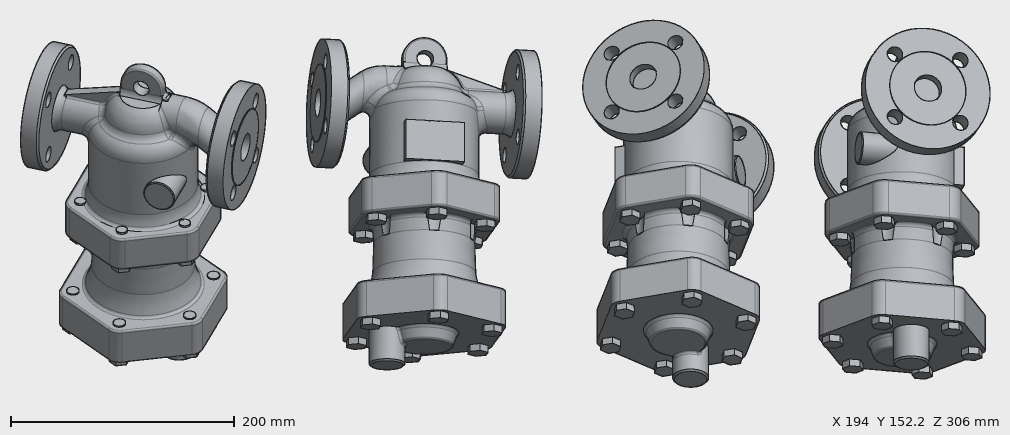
import cadquery as cq
import math

port_height = 240.8
total_height = 306.0
lower_flange_bottom = 31.8
lower_flange_top = 65.8
upper_flange_bottom = 130.3
upper_flange_top = 163.7

overall_length = 194.0
port_flange_dia = 115.0
port_flange_thickness = 16.8
raised_face_dia = 70.0
raised_face_height = 1.0
port_bore_dia = 25.0
port_bore_depth = 9.2
port_hole_dia = 14.0
port_hole_circle_dia = 85.0
port_hole_count = 4
port_hole_start_angle = 45.0
port_flange_chamfer = 1.8

pipe_radius = 18.7
collar_radius = 21.5
collar_sag = 1.0
inlet_collar_length = 8.3
outlet_collar_length = 4.3
outlet_height = 259.5
outlet_bend_radius = 35.8
outlet_slope = 36.0
outlet_bend_steps = 4
inlet_blend = 8.0
outlet_blend = 6.0
blend_top_margin = 1.5

hex_count = 6
upper_hex_flats = 125.7
upper_hex_corner_radius = 14.0
upper_bolt_circle_radius = 57.2
upper_stud_dia = 10.0
lower_hex_flats = 135.2
lower_hex_corner_radius = 12.5
lower_bolt_circle_radius = 64.0
lower_stud_dia = 11.3
hex_edge_fillet = 1.8
upper_stud_height = 1.8
lower_stud_height = 1.2
bolt_head_flats = 16.5
bolt_head_height = 6.5

body_radius = 49.0
upper_foot_radius = 56.5
lower_foot_radius = 56.0
flare_radius = 51.7
foot_rise = 2.5
foot_sag = 1.0
body_overlap = 3.0
upper_flare_top = 178.0
upper_flare_sag = 0.5
shoulder_bottom = 235.0
shoulder_top = 249.5
shoulder_top_radius = 40.0
shoulder_bulge = 2.5
shoulder_root_sag = 1.0
dome_bottom = 256.0
dome_radius = 34.5
dome_top = 275.0
dome_flat_radius = 20.5
dome_bulge = 3.0

waist_radius = 45.3
waist_top_radius = 46.2
waist_foot_radius = 50.0
waist_foot_height = 3.7
waist_height = 115.0
lower_flare_top = 87.5
lower_flare_sag = 1.0
lower_flare_top_radius = 46.2
relief_radius = 13.0

lug_hole_dia = 15.0
lug_radius = 20.0
lug_thickness = 10.7
lug_base_width = 18.5
lug_base_top = 281.5
lug_base_lip = 0.5
lug_base_sink = 1.0
lug_rim_fillet = 1.5
lug_toe_x = 25.0
rib_thickness = 9.0
rib_start_x = -73.5
rib_start_height = 260.5
rib_end_height = 277.0
rib_blend = 2.5

side_boss_x = 31.8
side_boss_height = 203.5
side_boss_radius = 14.7
side_boss_face_y = -48.0
side_boss_chamfer = 1.0

pad_width = 53.5
pad_face_y = 50.8
pad_bottom = 178.7
pad_top = 215.0

cap_height = 12.5
cap_foot_radius = 31.2
cap_foot_height = 2.8
cap_neck_radius = 29.0
cap_bottom_radius = 25.5
cap_rim_fillet = 2.0
drain_x = 34.0
drain_dia = 32.0
drain_chamfer = 1.5
drain_blend = 2.5

port_face_x = overall_length / 2
flange_outer_x = port_face_x - raised_face_height
flange_inner_x = flange_outer_x - port_flange_thickness
inlet_end_x = inlet_collar_length - flange_inner_x
outlet_end_x = flange_inner_x - outlet_collar_length


def arc_middle(start, end, bulge):
    """Middle point of an arc that bulges to the right of the way from start to end."""
    step_x = end[0] - start[0]
    step_z = end[1] - start[1]
    chord = math.hypot(step_x, step_z)
    return (
        (start[0] + end[0]) / 2 + bulge * step_z / chord,
        (start[1] + end[1]) / 2 - bulge * step_x / chord,
    )


def cylinder(x, y, bottom, radius, height):
    """Vertical cylinder standing at height `bottom`."""
    return cq.Workplane("XY", origin=(x, y, bottom)).circle(radius).extrude(height)


def hex_prism(flats, bottom, height):
    """Hexagonal prism on the Z axis with two corners on the Y axis."""
    half_sector = 180 / hex_count
    corner_dia = flats / math.cos(math.radians(half_sector))
    prism = cq.Workplane("XY").polygon(hex_count, corner_dia).extrude(height)
    return prism.rotate((0, 0, 0), (0, 0, 1), half_sector).translate((0, 0, bottom))


def bolt_positions(circle_radius):
    """Bolt centres below the corners of a hexagonal flange."""
    angles = [math.pi / hex_count * (2 * i + 1) for i in range(hex_count)]
    return [(circle_radius * math.cos(a), circle_radius * math.sin(a)) for a in angles]


def hex_flange(flats, corner_radius, bottom, top, rounded_faces):
    """Hexagonal flange with round corners and rounded rims on the chosen faces."""
    flange = hex_prism(flats, bottom, top - bottom).edges("|Z").fillet(corner_radius)
    return flange.faces(rounded_faces).edges().fillet(hex_edge_fillet)


def flange_bolts(circle_radius, stud_dia, stud_height, bottom, top):
    """Stud ends above a hexagonal flange and bolt heads below it."""
    bolts = cq.Workplane("XY")
    for x, y in bolt_positions(circle_radius):
        stud = cylinder(x, y, bottom, stud_dia / 2, top - bottom + stud_height)
        head = hex_prism(bolt_head_flats, bottom - bolt_head_height, bolt_head_height)
        bolts = bolts.add(stud).add(head.translate((x, y, 0)))
    return bolts.combine()


def port_flange():
    """Pipe flange of the +X port, centred on the X axis."""
    disc = (
        cq.Workplane("YZ", origin=(flange_inner_x, 0, 0))
        .circle(port_flange_dia / 2)
        .extrude(port_flange_thickness)
        .faces("<X").edges().chamfer(port_flange_chamfer)
        .faces(">X").workplane()
        .circle(raised_face_dia / 2)
        .extrude(raised_face_height)
    )
    holes = (
        cq.Workplane("YZ", origin=(flange_inner_x, 0, 0))
        .polarArray(port_hole_circle_dia / 2, port_hole_start_angle, 360, port_hole_count)
        .circle(port_hole_dia / 2)
        .extrude(port_flange_thickness)
    )
    return disc.cut(holes)


def port_collar(collar_length):
    """Concave flare between the +X pipe and its flange, at the port height."""
    collar_end_x = flange_inner_x - collar_length
    pipe_end = (collar_end_x, pipe_radius)
    flange_end = (flange_inner_x, collar_radius)
    return (
        cq.Workplane("XY")
        .moveTo(collar_end_x, 0)
        .lineTo(*pipe_end)
        .threePointArc(arc_middle(pipe_end, flange_end, collar_sag), flange_end)
        .lineTo(flange_inner_x, 0)
        .close()
        .revolve(360, (0, 0, 0), (1, 0, 0))
        .translate((0, 0, port_height))
    )


def port_bore():
    """Blind bore in the face of the +X port."""
    start_x = port_face_x - port_bore_depth
    return (
        cq.Workplane("YZ", origin=(start_x, 0, 0))
        .circle(port_bore_dia / 2)
        .extrude(port_bore_depth)
    )


def both_ports(shape):
    """Place a +X port feature at the port height on both sides."""
    placed = shape.translate((0, 0, port_height))
    return placed.union(placed.mirror("YZ"))


def inlet_pipe():
    """Straight pipe from the -X flange to the body axis."""
    return (
        cq.Workplane("YZ", origin=(inlet_end_x, 0, port_height))
        .circle(pipe_radius)
        .extrude(-inlet_end_x)
    )


def outlet_pipe():
    """Pipe that leaves the dome horizontally and slopes down to the +X flange.

    Every section square to the X axis is the same circle; its centre follows an
    arc and then a straight slope.
    """
    slope = math.radians(outlet_slope)
    bend_run = outlet_bend_radius * math.sin(slope)
    bend_drop = outlet_bend_radius * (1 - math.cos(slope))
    slope_drop = outlet_height - port_height - bend_drop
    slope_run = slope_drop / math.tan(slope)
    bend_start_x = outlet_end_x - slope_run - bend_run

    bend = cq.Workplane("YZ", origin=(bend_start_x, 0, outlet_height)).circle(pipe_radius)
    previous_run = 0
    previous_drop = 0
    for step in range(1, outlet_bend_steps + 1):
        angle = slope * step / outlet_bend_steps
        run = outlet_bend_radius * math.sin(angle)
        drop = outlet_bend_radius * (1 - math.cos(angle))
        bend = (
            bend.workplane(offset=run - previous_run)
            .center(0, previous_drop - drop)
            .circle(pipe_radius)
        )
        previous_run = run
        previous_drop = drop
    bend = bend.loft()

    slope_start = cq.Vector(outlet_end_x - slope_run, 0, outlet_height - bend_drop)
    section = cq.Wire.makeCircle(pipe_radius, slope_start, cq.Vector(1, 0, 0))
    sloped = cq.Solid.extrudeLinear(section, [], cq.Vector(slope_run, 0, -slope_drop))
    straight = (
        cq.Workplane("YZ", origin=(lug_radius, 0, outlet_height))
        .circle(pipe_radius)
        .extrude(bend_start_x - lug_radius)
    )
    return straight.union(bend).union(cq.Workplane(sloped))


def upper_body():
    """Flared cylinder with a round shoulder and a dome."""
    foot_start = (upper_foot_radius, upper_flange_top)
    flare_start = (flare_radius, upper_flange_top + foot_rise)
    flare_end = (body_radius, upper_flare_top)
    shoulder_start = (body_radius, shoulder_bottom)
    shoulder_end = (shoulder_top_radius, shoulder_top)
    dome_start = (dome_radius, dome_bottom)
    dome_end = (dome_flat_radius, dome_top)
    return (
        cq.Workplane("XZ")
        .moveTo(0, upper_flange_top - body_overlap)
        .lineTo(upper_foot_radius, upper_flange_top - body_overlap)
        .lineTo(*foot_start)
        .threePointArc(arc_middle(foot_start, flare_start, -foot_sag), flare_start)
        .threePointArc(arc_middle(flare_start, flare_end, -upper_flare_sag), flare_end)
        .lineTo(*shoulder_start)
        .threePointArc(arc_middle(shoulder_start, shoulder_end, shoulder_bulge), shoulder_end)
        .threePointArc(arc_middle(shoulder_end, dome_start, -shoulder_root_sag), dome_start)
        .threePointArc(arc_middle(dome_start, dome_end, dome_bulge), dome_end)
        .lineTo(0, dome_top)
        .close()
        .revolve(360, (0, 0, 0), (0, 1, 0))
    )


def lower_body():
    """Waisted body between the two hexagonal flanges, relieved around the bolts."""
    foot_start = (lower_foot_radius, lower_flange_top)
    flare_start = (flare_radius, lower_flange_top + foot_rise)
    flare_end = (lower_flare_top_radius, lower_flare_top)
    body = (
        cq.Workplane("XZ")
        .moveTo(0, lower_flange_top - body_overlap)
        .lineTo(lower_foot_radius, lower_flange_top - body_overlap)
        .lineTo(*foot_start)
        .threePointArc(arc_middle(foot_start, flare_start, -foot_sag), flare_start)
        .threePointArc(arc_middle(flare_start, flare_end, -lower_flare_sag), flare_end)
        .lineTo(waist_radius, waist_height)
        .lineTo(waist_top_radius, upper_flange_bottom - waist_foot_height)
        .tangentArcPoint((waist_foot_radius, upper_flange_bottom), relative=False)
        .lineTo(0, upper_flange_bottom)
        .close()
        .revolve(360, (0, 0, 0), (0, 1, 0))
    )
    for x, y in bolt_positions(upper_bolt_circle_radius):
        relief_height = upper_flange_bottom - waist_height
        body = body.cut(cylinder(x, y, waist_height, relief_radius, relief_height))
    return body


def lug():
    """Lifting eye with a base that flares out onto the dome."""
    centre_height = total_height - lug_radius
    plate = (
        cq.Workplane("XZ", origin=(0, lug_thickness / 2, 0))
        .moveTo(-lug_radius, dome_bottom)
        .lineTo(-lug_radius, centre_height)
        .threePointArc((0, total_height), (lug_radius, centre_height))
        .lineTo(lug_radius, dome_bottom)
        .close()
        .extrude(lug_thickness)
        .edges("%CIRCLE").fillet(lug_rim_fillet)
    )
    half_base = lug_base_width / 2
    base_bottom = dome_top - lug_base_sink
    base = (
        cq.Workplane("YZ", origin=(-lug_radius, 0, 0))
        .moveTo(0, lug_base_top + lug_base_lip)
        .lineTo(lug_thickness / 2, lug_base_top + lug_base_lip)
        .lineTo(lug_thickness / 2, lug_base_top)
        .tangentArcPoint((half_base, base_bottom), relative=False)
        .lineTo(0, base_bottom)
        .mirrorY()
        .extrude(2 * lug_radius)
    )
    toe = (
        cq.Workplane("XZ", origin=(0, lug_thickness / 2, 0))
        .moveTo(0, lug_base_top + lug_base_lip)
        .lineTo(lug_radius, lug_base_top + lug_base_lip)
        .lineTo(lug_radius, lug_base_top)
        .tangentArcPoint((lug_toe_x, outlet_height + pipe_radius), relative=False)
        .lineTo(lug_toe_x, outlet_height)
        .lineTo(0, outlet_height)
        .close()
        .extrude(lug_thickness)
    )
    eye = (
        cq.Workplane("XZ", origin=(0, half_base, centre_height))
        .circle(lug_hole_dia / 2)
        .extrude(lug_base_width)
    )
    return plate.union(base).union(toe).cut(eye)


def rib():
    """Sloping rib from the inlet pipe up to the lug."""
    return (
        cq.Workplane("XZ", origin=(0, rib_thickness / 2, 0))
        .moveTo(rib_start_x, port_height)
        .lineTo(rib_start_x, rib_start_height)
        .lineTo(-lug_radius, rib_end_height)
        .lineTo(0, rib_end_height)
        .lineTo(0, port_height)
        .close()
        .extrude(rib_thickness)
    )


def side_boss():
    """Round boss on the front of the upper body."""
    return (
        cq.Workplane("XZ", origin=(side_boss_x, side_boss_face_y, side_boss_height))
        .circle(side_boss_radius)
        .extrude(side_boss_face_y)
        .faces("<Y").edges().chamfer(side_boss_chamfer)
    )


def nameplate_pad():
    """Flat rectangular pad on the back of the upper body."""
    return (
        cq.Workplane("XY", origin=(0, 0, pad_bottom))
        .rect(pad_width, pad_face_y, centered=(True, False))
        .extrude(pad_top - pad_bottom)
    )


def bottom_cap():
    """Tapered cap under the lower flange, with the off-centre drain pipe."""
    cap_bottom = lower_flange_bottom - cap_height
    cap = (
        cq.Workplane("XZ")
        .moveTo(0, cap_bottom)
        .lineTo(cap_bottom_radius, cap_bottom)
        .lineTo(cap_neck_radius, lower_flange_bottom - cap_foot_height)
        .tangentArcPoint((cap_foot_radius, lower_flange_bottom), relative=False)
        .lineTo(0, lower_flange_bottom)
        .close()
        .revolve(360, (0, 0, 0), (0, 1, 0))
        .faces("<Z").edges().fillet(cap_rim_fillet)
    )
    drain = cylinder(drain_x, 0, 0, drain_dia / 2, lower_flange_bottom)
    drain = drain.faces("<Z").edges().chamfer(drain_chamfer)
    drain_joint = cq.selectors.BoxSelector(
        (0, -drain_dia / 2, cap_bottom - drain_blend),
        (drain_x, drain_dia / 2, lower_flange_bottom - cap_foot_height),
    )
    return cap.union(drain).edges(drain_joint).fillet(drain_blend)


def blended_pipe(pipe, blend_radius):
    """Upper body joined to one pipe, with the joint rounded below the dome's flat top."""
    below_top = cq.selectors.BoxSelector(
        (-body_radius, -body_radius, upper_flare_top),
        (body_radius, body_radius, dome_top - blend_top_margin),
    )
    return upper_body().union(pipe).edges("%BSPLINE").edges(below_top).fillet(blend_radius)


def ribbed_body():
    """Upper body with both pipes and the rib, which is rounded into the pipe and dome."""
    rib_foot = cq.selectors.BoxSelector(
        (inlet_end_x, -rib_thickness, port_height + pipe_radius - rib_blend),
        (-body_radius, rib_thickness, port_height + pipe_radius),
    )
    body = blended_pipe(inlet_pipe(), inlet_blend).union(rib()).edges(rib_foot).fillet(rib_blend)
    return body.union(blended_pipe(outlet_pipe(), outlet_blend))


result = (
    ribbed_body()
    .union(lug())
    .union(side_boss())
    .union(nameplate_pad())
    .union(both_ports(port_flange()))
    .union(port_collar(inlet_collar_length).mirror("YZ"))
    .union(port_collar(outlet_collar_length))
    .cut(both_ports(port_bore()))
    .union(hex_flange(upper_hex_flats, upper_hex_corner_radius, upper_flange_bottom, upper_flange_top, "|Z"))
    .union(flange_bolts(upper_bolt_circle_radius, upper_stud_dia, upper_stud_height, upper_flange_bottom, upper_flange_top))
    .union(lower_body())
    .union(hex_flange(lower_hex_flats, lower_hex_corner_radius, lower_flange_bottom, lower_flange_top, ">Z"))
    .union(flange_bolts(lower_bolt_circle_radius, lower_stud_dia, lower_stud_height, lower_flange_bottom, lower_flange_top))
    .union(bottom_cap())
)